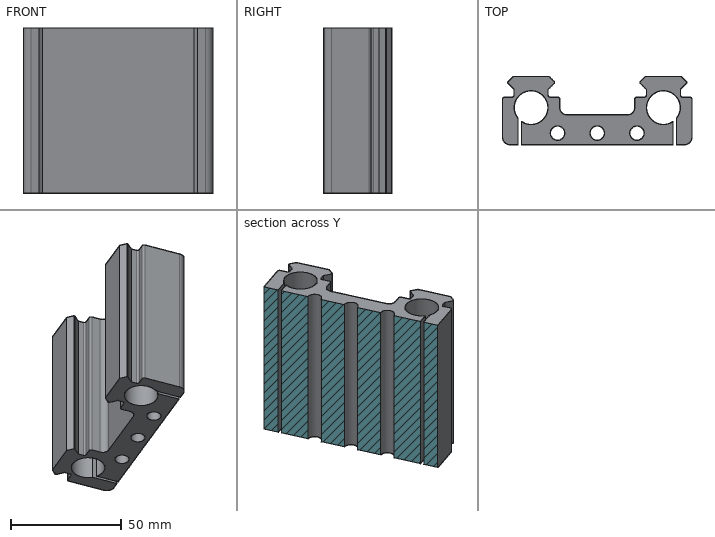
import cadquery as cq

WIDTH = 86.0
DEPTH = 31.0
LENGTH = 75.0

WEB_THICKNESS = 13.7
WEB_FILLET = 3.0

RAIL_OFFSET = 30.0
SHOULDER_Y = 21.6
SHOULDER_INNER_X = 16.9
SHOULDER_FILLET = 1.0
OUTER_CORNER_RADIUS = 3.5

HEAD_TOP_HALF_WIDTH = 8.15
HEAD_HALF_WIDTH = 10.7
HEAD_TIP_FLAT = 0.4
NECK_HALF_WIDTH = 7.75

BORE_DIAMETER = 15.2
BORE_Y = 16.85
SLIT_WIDTH = 1.5
SLIT_OUTER_X = 35.9

SMALL_HOLE_DIAMETER = 6.4
SMALL_HOLE_SPACING = 18.0
SMALL_HOLE_COUNT = 3
SMALL_HOLE_Y = 5.3


def half_profile_points():
    """Outline of the +X half, from the middle of the base round to the middle of the web."""
    upper_tip_y = DEPTH - (HEAD_HALF_WIDTH - HEAD_TOP_HALF_WIDTH)
    lower_tip_y = upper_tip_y - HEAD_TIP_FLAT
    neck_top_y = lower_tip_y - (HEAD_HALF_WIDTH - NECK_HALF_WIDTH)
    return [
        (0, 0),
        (WIDTH / 2, 0),
        (WIDTH / 2, SHOULDER_Y),
        (RAIL_OFFSET + NECK_HALF_WIDTH, SHOULDER_Y),
        (RAIL_OFFSET + NECK_HALF_WIDTH, neck_top_y),
        (RAIL_OFFSET + HEAD_HALF_WIDTH, lower_tip_y),
        (RAIL_OFFSET + HEAD_HALF_WIDTH, upper_tip_y),
        (RAIL_OFFSET + HEAD_TOP_HALF_WIDTH, DEPTH),
        (RAIL_OFFSET - HEAD_TOP_HALF_WIDTH, DEPTH),
        (RAIL_OFFSET - HEAD_HALF_WIDTH, upper_tip_y),
        (RAIL_OFFSET - HEAD_HALF_WIDTH, lower_tip_y),
        (RAIL_OFFSET - NECK_HALF_WIDTH, neck_top_y),
        (RAIL_OFFSET - NECK_HALF_WIDTH, SHOULDER_Y),
        (SHOULDER_INNER_X, SHOULDER_Y),
        (SHOULDER_INNER_X, WEB_THICKNESS),
        (0, WEB_THICKNESS),
    ]


def fillet_edges_at(body, points, radius):
    """Round the lengthwise edges that pass through the given XY points."""
    selector = cq.selectors.NearestToPointSelector
    edges = body.newObject([])
    for x, y in points:
        edges = edges.add(body.edges(selector((x, y, LENGTH / 2))))
    return edges.fillet(radius)


def rounded_half():
    """The +X half of the extrusion with its corners rounded."""
    body = cq.Workplane("XY").polyline(half_profile_points()).close().extrude(LENGTH)
    shoulder_corners = [
        (WIDTH / 2, SHOULDER_Y),
        (RAIL_OFFSET + NECK_HALF_WIDTH, SHOULDER_Y),
        (RAIL_OFFSET - NECK_HALF_WIDTH, SHOULDER_Y),
        (SHOULDER_INNER_X, SHOULDER_Y),
    ]
    body = fillet_edges_at(body, shoulder_corners, SHOULDER_FILLET)
    body = fillet_edges_at(body, [(SHOULDER_INNER_X, WEB_THICKNESS)], WEB_FILLET)
    return fillet_edges_at(body, [(WIDTH / 2, 0)], OUTER_CORNER_RADIUS)


def bore_and_slit():
    """Cutter for the +X rail: the round bore plus the slit running from it to the base."""
    bore = cq.Workplane("XY").center(RAIL_OFFSET, BORE_Y).circle(BORE_DIAMETER / 2).extrude(LENGTH)
    slit = cq.Workplane("XY").box(SLIT_WIDTH, BORE_Y, LENGTH, centered=False)
    return bore.union(slit.translate((SLIT_OUTER_X - SLIT_WIDTH, 0, 0)))


def small_holes():
    """Cutters for the row of through holes in the web."""
    return (
        cq.Workplane("XY")
        .center(0, SMALL_HOLE_Y)
        .rarray(SMALL_HOLE_SPACING, 1, SMALL_HOLE_COUNT, 1)
        .circle(SMALL_HOLE_DIAMETER / 2)
        .extrude(LENGTH)
    )


right_half = rounded_half().cut(bore_and_slit())
both_halves = right_half.union(right_half.mirror("YZ"), clean=True)
result = both_halves.cut(small_holes())